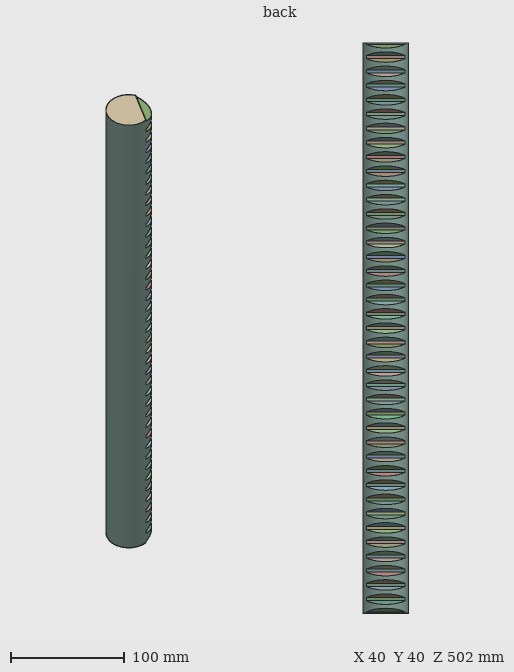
import cadquery as cq
import math

length = 502.0
diameter = 40.0

tooth_count = 40
pressure_angle = 20.0
addendum_factor = 1.0
dedendum_factor = 1.25

radius = diameter / 2
pitch = length / tooth_count
module = pitch / math.pi
tip_y = radius
pitch_line_y = tip_y - addendum_factor * module
root_y = pitch_line_y - dedendum_factor * module


def half_gap(y):
    """Half the width of a tooth space at height y."""
    return pitch / 4 + (y - pitch_line_y) * math.tan(math.radians(pressure_angle))


def tooth_space(z):
    """Trapezoidal tooth space centred at z, cut across the full bar width."""
    root = half_gap(root_y)
    tip = half_gap(tip_y)
    outline = [(root_y, z - root), (tip_y, z - tip), (tip_y, z + tip), (root_y, z + root)]
    return cq.Workplane("YZ").polyline(outline).close().extrude(radius, both=True)


result = cq.Workplane("XY").circle(radius).extrude(length)

for space in range(tooth_count + 1):
    result = result.cut(tooth_space(space * pitch))